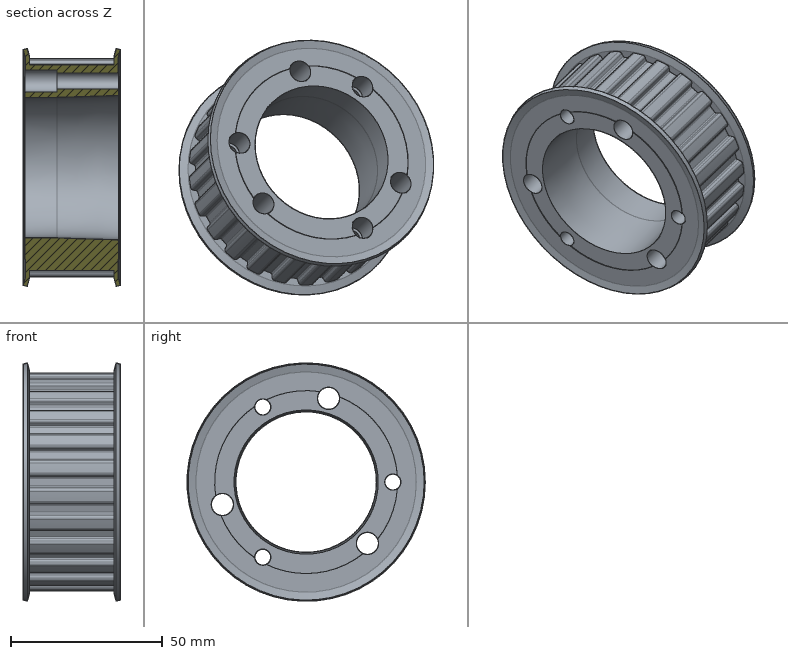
import cadquery as cq
import math

OVERALL_WIDTH = 32.13
FLANGE_DIAMETER = 78.58
FLANGE_THICKNESS = 1.5
FLANGE_TILT = 15.0
FLANGE_FLAT_RADIUS = 36.3

HUB_RADIUS = 30.15
HUB_PROJECTION = 0.2
BORE_DIAMETER = 46.25
BORE_LARGE_DIAMETER = 47.52
BORE_STRAIGHT_LENGTH = 10.7

BOLT_CIRCLE_DIAMETER = 57.15
CLEARANCE_DIAMETER = 7.2
TAPPED_DIAMETER = 5.2
COUNTERBORE_DEPTH = BORE_STRAIGHT_LENGTH
HOLES_PER_SET = 3
TAPPED_START_ANGLE = 0.0
CLEARANCE_START_ANGLE = 75.0

TOOTH_COUNT = 24
PITCH = 9.525
PITCH_LINE_OFFSET = 0.28
GROOVE_DEPTH = 2.15
GROOVE_BOTTOM_WIDTH = 3.05
GROOVE_FLANK_ANGLE = 20.0
GROOVE_ROOT_FILLET = 0.55
TOOTH_TIP_FILLET = 1.0
GROOVE_OVERSHOOT = 1.0
EDGE_PICK_TOLERANCE = 0.01

tooth_radius = TOOTH_COUNT * PITCH / (2 * math.pi) - PITCH_LINE_OFFSET
root_radius = tooth_radius - GROOVE_DEPTH
tilt = math.radians(FLANGE_TILT)
half_width = OVERALL_WIDTH / 2
tip_radius = FLANGE_DIAMETER / 2
rim_radius = tip_radius - FLANGE_THICKNESS * math.sin(tilt)
tip_x = half_width - FLANGE_THICKNESS * math.cos(tilt)
flat_x = half_width - (rim_radius - FLANGE_FLAT_RADIUS) * math.tan(tilt)
inner_x = flat_x - FLANGE_THICKNESS
bend_radius = tip_radius - (tip_x - inner_x) / math.tan(tilt)
hub_x = flat_x + HUB_PROJECTION


def x_cylinder(radius, start_x, end_x, y=0.0, z=0.0):
    """Cylinder along X between two X positions."""
    return cq.Workplane("YZ", origin=(start_x, y, z)).circle(radius).extrude(end_x - start_x)


def near_radius(radius):
    """Test that picks the edges lying close to one distance from the X axis."""
    return lambda edge: abs(math.hypot(edge.Center().y, edge.Center().z) - radius) < EDGE_PICK_TOLERANCE


def make_toothed_rim():
    """Toothed body between the flanges, with one groove centred on +Y."""
    half_bottom = GROOVE_BOTTOM_WIDTH / 2
    mouth_radius = tooth_radius + GROOVE_OVERSHOOT
    flank_run = (mouth_radius - root_radius) * math.tan(math.radians(GROOVE_FLANK_ANGLE))
    half_mouth = half_bottom + flank_run
    groove = (
        cq.Workplane("YZ", origin=(-inner_x, 0, 0))
        .polyline([
            (root_radius, -half_bottom),
            (mouth_radius, -half_mouth),
            (mouth_radius, half_mouth),
            (root_radius, half_bottom),
        ])
        .close()
        .extrude(2 * inner_x)
        .edges("|X and <Y")
        .fillet(GROOVE_ROOT_FILLET)
    )
    rim = x_cylinder(tooth_radius, -inner_x, inner_x)
    for index in range(TOOTH_COUNT):
        rim = rim.cut(groove.rotate((0, 0, 0), (1, 0, 0), index * 360 / TOOTH_COUNT))
    return rim.edges("|X").filter(near_radius(tooth_radius)).fillet(TOOTH_TIP_FILLET)


def make_flange():
    """Dished flange on the +X side, its rim leaning outward."""
    return (
        cq.Workplane("XY")
        .polyline([
            (inner_x, 0),
            (inner_x, bend_radius),
            (tip_x, tip_radius),
            (half_width, rim_radius),
            (flat_x, FLANGE_FLAT_RADIUS),
            (flat_x, 0),
        ])
        .close()
        .revolve(360, (0, 0, 0), (1, 0, 0))
    )


def make_bore():
    """Bore cutter: straight from the -X face, then widening to the +X face."""
    taper_x = BORE_STRAIGHT_LENGTH - hub_x
    return (
        cq.Workplane("XY")
        .polyline([
            (-hub_x, 0),
            (-hub_x, BORE_DIAMETER / 2),
            (taper_x, BORE_DIAMETER / 2),
            (hub_x, BORE_LARGE_DIAMETER / 2),
            (hub_x, 0),
        ])
        .close()
        .revolve(360, (0, 0, 0), (1, 0, 0))
    )


def bolt_positions(start_angle):
    """Y and Z of one set of holes, evenly spaced on the bolt circle from +Y towards +Z."""
    radius = BOLT_CIRCLE_DIAMETER / 2
    angles = [math.radians(start_angle + index * 360 / HOLES_PER_SET) for index in range(HOLES_PER_SET)]
    return [(radius * math.cos(angle), radius * math.sin(angle)) for angle in angles]


def cut_bolt_holes(body):
    """Cut the clearance holes and the counterbored tapped holes."""
    for y, z in bolt_positions(CLEARANCE_START_ANGLE):
        body = body.cut(x_cylinder(CLEARANCE_DIAMETER / 2, -hub_x, hub_x, y, z))
    for y, z in bolt_positions(TAPPED_START_ANGLE):
        body = body.cut(x_cylinder(TAPPED_DIAMETER / 2, -hub_x, hub_x, y, z))
        body = body.cut(x_cylinder(CLEARANCE_DIAMETER / 2, -hub_x, -hub_x + COUNTERBORE_DEPTH, y, z))
    return body


flange = make_flange()
pulley = make_toothed_rim().union(flange).union(flange.mirror("YZ"))
pulley = pulley.union(x_cylinder(HUB_RADIUS, -hub_x, hub_x))
pulley = pulley.cut(make_bore())
result = cut_bolt_holes(pulley)